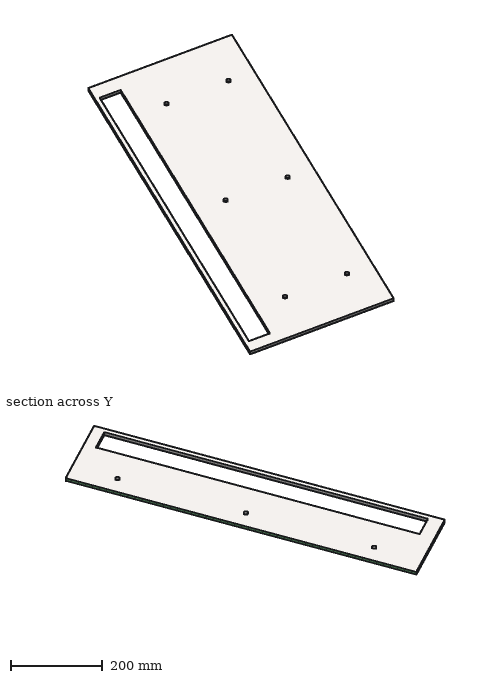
import cadquery as cq

length = 820.0
width = 348.0
thickness = 10.0

hole_diameter = 10.0
column_count = 3
row_count = 2
column_pitch = 300.0
row_pitch = 150.0
first_column_from_left = 113.0
first_row_from_front = 135.0

window_length = 757.0
window_width = 51.0
window_from_left = 35.0
window_from_front = 11.0


def make_plate():
    """Flat plate with its front left bottom corner at the origin."""
    return cq.Workplane("XY").box(length, width, thickness, centered=False)


def make_window():
    """Cutter for the window through the plate."""
    return (
        cq.Workplane("XY")
        .box(window_length, window_width, thickness, centered=False)
        .translate((window_from_left, window_from_front, 0))
    )


def make_holes():
    """Cutter for the grid of through holes."""
    hole_centers = [
        (first_column_from_left + column * column_pitch, first_row_from_front + row * row_pitch)
        for column in range(column_count)
        for row in range(row_count)
    ]
    return cq.Workplane("XY").pushPoints(hole_centers).circle(hole_diameter / 2).extrude(thickness)


result = make_plate().cut(make_window()).cut(make_holes())